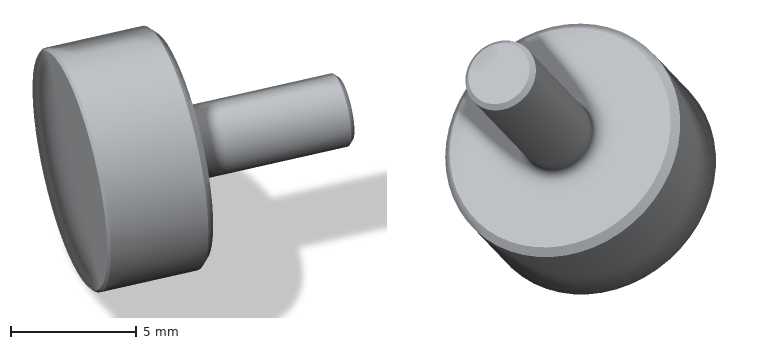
import cadquery as cq

total_length = 11.5
head_diameter = 10.0
head_length = 4.5
stud_diameter = 3.0

face_chamfer = 0.1
back_chamfer = 0.3
stud_tip_chamfer = 0.2
neck_fillet = 0.3

ring_diameter = 9.0
disc_diameter = 8.5
insert_depth = 3.0

head_radius = head_diameter / 2
stud_radius = stud_diameter / 2
face_y = -total_length / 2
back_y = face_y + head_length
tip_y = total_length / 2


def cylinder_from_face(diameter, length):
    """Solid cylinder that starts at the face and runs toward +Y."""
    start = cq.Plane(origin=(0, face_y, 0), xDir=(1, 0, 0), normal=(0, 1, 0))
    return cq.Workplane(start).circle(diameter / 2).extrude(length)


def make_holder():
    """Turned head and stud, with a round pocket for the inserts."""
    arc_inset = neck_fillet * (1 - 0.5 ** 0.5)
    neck_arc_middle = (stud_radius + arc_inset, back_y + arc_inset)
    turned = (
        cq.Workplane("XY")
        .moveTo(0, face_y)
        .lineTo(head_radius - face_chamfer, face_y)
        .lineTo(head_radius, face_y + face_chamfer)
        .lineTo(head_radius, back_y - back_chamfer)
        .lineTo(head_radius - back_chamfer, back_y)
        .lineTo(stud_radius + neck_fillet, back_y)
        .threePointArc(neck_arc_middle, (stud_radius, back_y + neck_fillet))
        .lineTo(stud_radius, tip_y - stud_tip_chamfer)
        .lineTo(stud_radius - stud_tip_chamfer, tip_y)
        .lineTo(0, tip_y)
        .close()
        .revolve(360, (0, 0, 0), (0, 1, 0))
    )
    return turned.cut(cylinder_from_face(ring_diameter, insert_depth))


def make_ring():
    """Thin sleeve between the holder and the disc."""
    sleeve = cylinder_from_face(ring_diameter, insert_depth)
    return sleeve.cut(cylinder_from_face(disc_diameter, insert_depth))


def make_disc():
    """Round disc that fills the sleeve."""
    return cylinder_from_face(disc_diameter, insert_depth)


holder = make_holder()
ring = make_ring()
disc = make_disc()

result = cq.Compound.makeCompound([holder.val(), ring.val(), disc.val()])